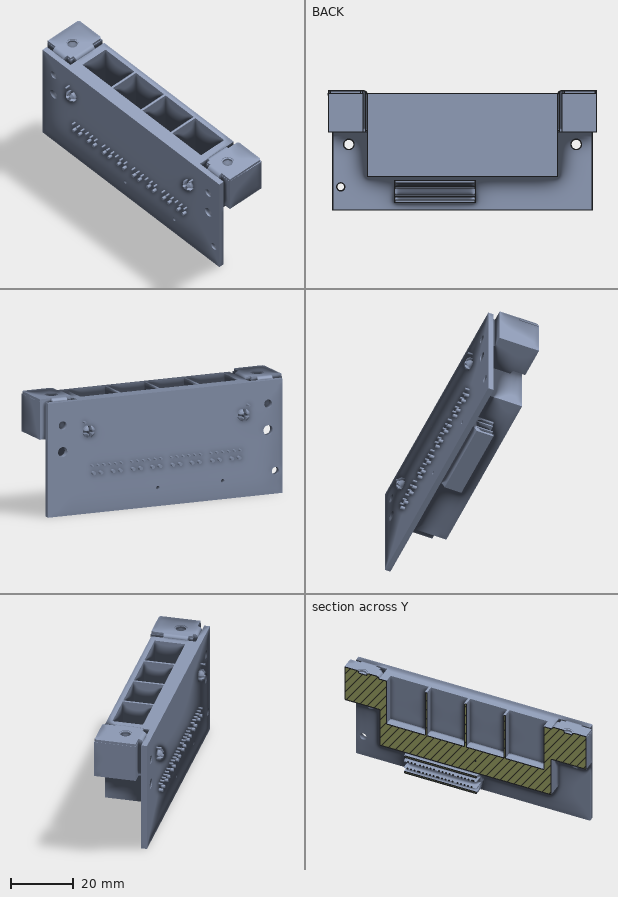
import cadquery as cq

BOARD_WIDTH = 82.4
BOARD_HEIGHT = 37.1
BOARD_THICKNESS = 1.9
BLOCK_HOLE_DIAMETER = 2.7
BLOCK_HOLE_Z = 29.5
MOUNT_HOLE_DIAMETER = 3.2
MOUNT_HOLE_Z = 20.9
CORNER_HOLE_DIAMETER = 2.5
CORNER_HOLE_X = 38.6
CORNER_HOLE_Z = 7.4

PORT_COUNT = 4
HOUSING_WIDTH = 60.4
HOUSING_BOTTOM_Z = 10.7
HOUSING_BACK_Y = 16.5
PORT_ROW_WIDTH = 55.3
PORT_WALL = 0.8
PORT_FRONT_Y = 4.7
PORT_BACK_Y = 14.7
PORT_DEPTH = 17.1

PIN_LENGTH = 1.4
PORT_PIN_PITCH = 13.9
SIGNAL_PIN_DIAMETER = 0.65
SIGNAL_PIN_COUNT = 6
SIGNAL_PIN_PITCH = 2.05
SIGNAL_PIN_Z = 15.6
POWER_PIN_DIAMETER = 1.1
POWER_PIN_OFFSETS = (-4.7, -2.1, 2.1, 4.7)
POWER_PIN_Z = 13.1
GUIDE_PIN_DIAMETER = 0.65
GUIDE_PIN_LENGTH = 1.6
GUIDE_PIN_X = 28.75
GUIDE_PIN_Z = 30.0

PEG_X = 27.2
PEG_Z = 26.9
PEG_HOLE_DIAMETER = 3.4
PEG_HEAD_DIAMETER = 4.0
PEG_LENGTH = 1.8
PEG_TAPER = 0.8
PEG_SLOT_WIDTH = 1.0

BLOCK_OUTER_X = 42.6
BLOCK_WIDTH = 11.0
BLOCK_BOTTOM_Z = 24.8
BLOCK_FRONT_Y = 3.3
BLOCK_BACK_Y = 17.0
CAP_HEIGHT = 0.85
CAP_INNER_INSET = 0.25
CAP_INSET = 0.1
CAP_CORNER_CHAMFER = 0.5
SOCKET_X = 36.2
SOCKET_Y = 8.3
SOCKET_RIM_DIAMETER = 4.2
SOCKET_RIM_DEPTH = 0.2
SOCKET_DIAMETER = 3.2
SOCKET_DEPTH = 0.85

RIB_STEP_HEIGHT = 0.8
RIB_STEP_MARGIN = 0.1
RIB_END_CHAMFER = 0.4
RIB_OVERLAP = 0.5
FRONT_RIB_X = 36.1
FRONT_RIB_WIDTH = 5.2
SIDE_RIB_Y = 8.6
SIDE_RIB_WIDTH = 7.9

LEDGE_THICKNESS = 0.2
LEDGE_HEIGHT = 0.5
LEDGE_FRONT_Y = 10.2
LEDGE_BACK_Y = 16.7

SINK_Z = 6.0
SINK_PIN_X = (-2.65, 20.1)
SINK_PIN_HOLE_DIAMETER = 1.2
SINK_LENGTH = 25.6
SINK_FIN_TIP_Y = 10.15
SINK_FLANGE_TIP_Y = 10.3

block_inner_x = BLOCK_OUTER_X - BLOCK_WIDTH
block_top_z = BOARD_HEIGHT + CAP_HEIGHT


def box(x0, x1, y0, y1, z0, z1):
    """Box between opposite corner coordinates."""
    return cq.Workplane("XY").box(x1 - x0, y1 - y0, z1 - z0, centered=False).translate((x0, y0, z0))


def rods(points, diameter, start_y, end_y):
    """Cylinders along y at the given (x, z) points."""
    plane = cq.Workplane("XZ", origin=(0, start_y, 0))
    return plane.pushPoints(points).circle(diameter / 2).extrude(start_y - end_y)


def evenly_spaced(count, pitch):
    """Positions centred on zero."""
    return [(i - (count - 1) / 2) * pitch for i in range(count)]


def make_board():
    board = box(-BOARD_WIDTH / 2, BOARD_WIDTH / 2, 0, BOARD_THICKNESS, 0, BOARD_HEIGHT)
    hole_groups = [
        ([(-FRONT_RIB_X, BLOCK_HOLE_Z), (FRONT_RIB_X, BLOCK_HOLE_Z)], BLOCK_HOLE_DIAMETER),
        ([(-FRONT_RIB_X, MOUNT_HOLE_Z), (FRONT_RIB_X, MOUNT_HOLE_Z)], MOUNT_HOLE_DIAMETER),
        ([(CORNER_HOLE_X, CORNER_HOLE_Z)], CORNER_HOLE_DIAMETER),
        ([(x, SINK_Z) for x in SINK_PIN_X], SINK_PIN_HOLE_DIAMETER),
    ]
    for points, diameter in hole_groups:
        board = board.cut(rods(points, diameter, 0, BOARD_THICKNESS))
    return board


def make_housing():
    half_width = HOUSING_WIDTH / 2
    housing = box(-half_width, half_width, BOARD_THICKNESS, HOUSING_BACK_Y, HOUSING_BOTTOM_Z, BOARD_HEIGHT)
    half_row = PORT_ROW_WIDTH / 2
    ports = box(-half_row, half_row, PORT_FRONT_Y, PORT_BACK_Y, BOARD_HEIGHT - PORT_DEPTH, BOARD_HEIGHT)
    housing = housing.cut(ports)
    for x in evenly_spaced(PORT_COUNT - 1, PORT_ROW_WIDTH / PORT_COUNT):
        left = x - PORT_WALL / 2
        right = x + PORT_WALL / 2
        wall = box(left, right, PORT_FRONT_Y, PORT_BACK_Y, HOUSING_BOTTOM_Z, BOARD_HEIGHT)
        housing = housing.union(wall)
    return housing


def make_pins():
    port_centres = evenly_spaced(PORT_COUNT, PORT_PIN_PITCH)
    signal_offsets = evenly_spaced(SIGNAL_PIN_COUNT, SIGNAL_PIN_PITCH)
    signal_points = [(x + dx, SIGNAL_PIN_Z) for x in port_centres for dx in signal_offsets]
    power_points = [(x + dx, POWER_PIN_Z) for x in port_centres for dx in POWER_PIN_OFFSETS]
    guide_points = [(-GUIDE_PIN_X, GUIDE_PIN_Z), (GUIDE_PIN_X, GUIDE_PIN_Z)]
    pins = rods(signal_points, SIGNAL_PIN_DIAMETER, -PIN_LENGTH, BOARD_THICKNESS)
    pins = pins.union(rods(power_points, POWER_PIN_DIAMETER, -PIN_LENGTH, BOARD_THICKNESS))
    return pins.union(rods(guide_points, GUIDE_PIN_DIAMETER, -GUIDE_PIN_LENGTH, BOARD_THICKNESS))


def peg_head(x):
    """Tapered peg head standing on the front of the board."""
    head = rods([(x, PEG_Z)], PEG_HEAD_DIAMETER, -PEG_LENGTH, 0)
    return head.faces("<Y").chamfer(PEG_TAPER)


def peg_slots(x):
    """Crossed slots through the head, and down the shank inside the board hole."""
    half_slot = PEG_SLOT_WIDTH / 2
    reach = PEG_HEAD_DIAMETER / 2
    upright = box(x - half_slot, x + half_slot, -PEG_LENGTH, BOARD_THICKNESS, PEG_Z - reach, PEG_Z + reach)
    level = box(x - reach, x + reach, -PEG_LENGTH, BOARD_THICKNESS, PEG_Z - half_slot, PEG_Z + half_slot)
    outside = rods([(x, PEG_Z)], PEG_HEAD_DIAMETER, -PEG_LENGTH, 0)
    shank = rods([(x, PEG_Z)], PEG_HOLE_DIAMETER, 0, BOARD_THICKNESS)
    return upright.union(level).intersect(outside.union(shank))


def front_rib(width, front_y):
    """Rib from the block towards the board; its upper front edge is a full round."""
    half = width / 2
    back_y = BLOCK_FRONT_Y + RIB_OVERLAP
    rib = box(FRONT_RIB_X - half, FRONT_RIB_X + half, front_y, back_y, BLOCK_BOTTOM_Z, block_top_z)
    return rib.edges("<Y and >Z").fillet(BLOCK_FRONT_Y - front_y)


def side_rib(width, inner_x):
    """Rib from the block towards the housing; its upper inner edge is a full round."""
    half = width / 2
    outer_x = block_inner_x + RIB_OVERLAP
    rib = box(inner_x, outer_x, SIDE_RIB_Y - half, SIDE_RIB_Y + half, BLOCK_BOTTOM_Z, block_top_z)
    return rib.edges("<X and >Z").fillet(block_inner_x - inner_x)


def make_block():
    """Right-hand end block with its cap, socket and ribs."""
    block = box(block_inner_x, BLOCK_OUTER_X, BLOCK_FRONT_Y, BLOCK_BACK_Y, BLOCK_BOTTOM_Z, BOARD_HEIGHT)
    cap = box(
        block_inner_x + CAP_INNER_INSET,
        BLOCK_OUTER_X - CAP_INSET,
        BLOCK_FRONT_Y + CAP_INSET,
        BLOCK_BACK_Y - CAP_INSET,
        BOARD_HEIGHT,
        block_top_z,
    )
    block = block.union(cap.edges("|Z and >Y").chamfer(CAP_CORNER_CHAMFER))

    front_tongue = front_rib(FRONT_RIB_WIDTH, BOARD_THICKNESS)
    block = block.union(front_tongue.edges("|Y and <Z").chamfer(RIB_END_CHAMFER))
    front_step_y = BLOCK_FRONT_Y - RIB_STEP_HEIGHT
    block = block.union(front_rib(FRONT_RIB_WIDTH + 2 * RIB_STEP_MARGIN, front_step_y))

    side_tongue = side_rib(SIDE_RIB_WIDTH, HOUSING_WIDTH / 2)
    block = block.union(side_tongue.edges("|X and <Z").chamfer(RIB_END_CHAMFER))
    side_step_x = block_inner_x - RIB_STEP_HEIGHT
    block = block.union(side_rib(SIDE_RIB_WIDTH + 2 * RIB_STEP_MARGIN, side_step_x))

    top = cq.Workplane("XY", origin=(SOCKET_X, SOCKET_Y, block_top_z))
    rim = top.circle(SOCKET_RIM_DIAMETER / 2).extrude(-SOCKET_RIM_DEPTH)
    socket = top.circle(SOCKET_DIAMETER / 2).extrude(-SOCKET_DEPTH)
    return block.cut(rim).cut(socket)


def make_ledge():
    return box(
        BLOCK_OUTER_X,
        BLOCK_OUTER_X + LEDGE_THICKNESS,
        LEDGE_FRONT_Y,
        LEDGE_BACK_Y,
        BOARD_HEIGHT - LEDGE_HEIGHT,
        BOARD_HEIGHT,
    )


def make_heat_sink():
    half_profile = [
        (4.4, 0),
        (4.4, 1.1),
        (SINK_FIN_TIP_Y, 1.1),
        (SINK_FIN_TIP_Y, 1.5),
        (4.4, 1.5),
        (4.95, 1.9),
        (6.1, 2.7),
        (SINK_FLANGE_TIP_Y, 2.7),
        (SINK_FLANGE_TIP_Y, 3.5),
        (4.5, 3.5),
        (4.4, 3.15),
        (3.2, 1.7),
        (2.5, 1.7),
        (2.05, 3.0),
        (BOARD_THICKNESS, 3.0),
        (BOARD_THICKNESS, 2.1),
        (2.2, 1.2),
        (3.2, 1.2),
        (3.2, 0.85),
        (BOARD_THICKNESS, 0.85),
        (BOARD_THICKNESS, 0),
    ]
    start_x = (sum(SINK_PIN_X) - SINK_LENGTH) / 2
    plane = cq.Workplane("YZ", origin=(start_x, 0, SINK_Z))
    upper = plane.polyline(half_profile).close().extrude(SINK_LENGTH)
    return upper.union(upper.mirror("XY", (0, 0, SINK_Z)))


result = make_board().union(make_housing()).union(make_pins())
for peg_x in (-PEG_X, PEG_X):
    result = result.union(peg_head(peg_x)).cut(peg_slots(peg_x))
right_block = make_block()
result = result.union(right_block).union(right_block.mirror("YZ"))
result = result.union(make_ledge()).union(make_heat_sink())